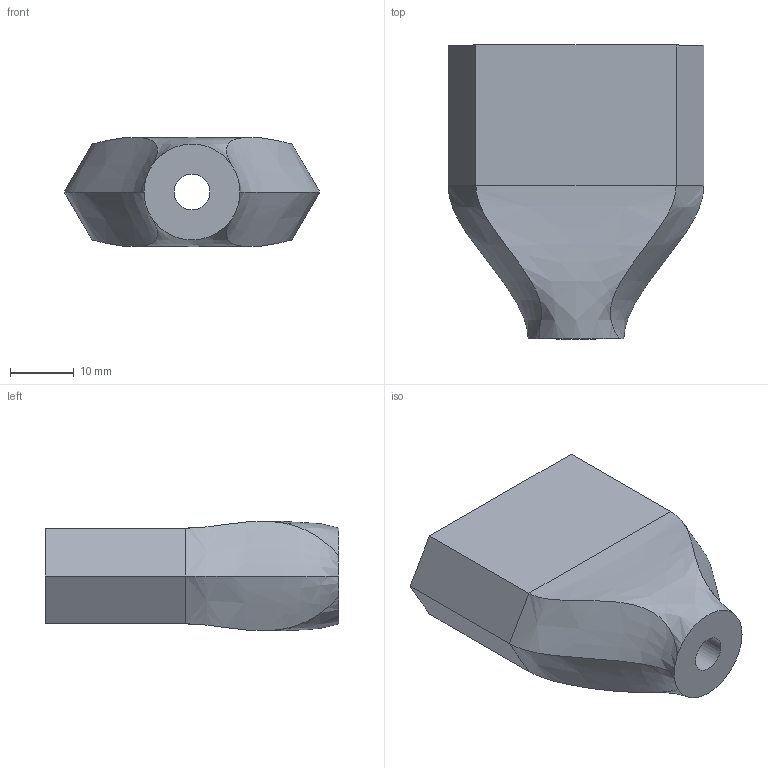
import cadquery as cq
import math

BODY_WIDTH = 40.0
BODY_HEIGHT = 15.0
BODY_LENGTH = 22.0
SIDE_SLOPE = math.radians(60)

TRANSITION_LENGTH = 24.0
NECK_RADIUS = BODY_HEIGHT / 2
BORE_DIAMETER = 5.6

TOP_CENTRE_RATE = (0.0, -7.3)
SHOULDER_RATE = (17.6, -25.65)
SIDE_CORNER_RATE = (-0.4, 0.0)

SECTION_COUNT = 9
POINTS_PER_EDGE = 9

half_width = BODY_WIDTH / 2
half_height = BODY_HEIGHT / 2
half_flat = half_width - half_height / math.tan(SIDE_SLOPE)
shoulder_angle = math.atan2(half_height, half_flat)


def mix(start, end, fraction):
    """Point a given fraction of the way between two (x, z) pairs."""
    return tuple(a + (b - a) * fraction for a, b in zip(start, end))


def neck_point(angle):
    return (NECK_RADIUS * math.cos(angle), NECK_RADIUS * math.sin(angle))


def blend(hexagon_point, circle_point, end_rate, t):
    """Cubic from hexagon (t=0, square to its plane) to circle (t=1, given rate)."""
    to_circle = t * t * (3 - 2 * t)
    rate_weight = t * t * (t - 1)
    position = mix(hexagon_point, circle_point, to_circle)
    return tuple(p + rate_weight * r for p, r in zip(position, end_rate))


def side_point(u, t):
    """Upper right side: u=0 at the side corner, u=1 at the shoulder."""
    hexagon_point = mix((half_width, 0.0), (half_flat, half_height), u)
    end_rate = mix(SIDE_CORNER_RATE, SHOULDER_RATE, u)
    return blend(hexagon_point, neck_point(u * shoulder_angle), end_rate, t)


def left_side_point(u, t):
    """Upper left side: mirror of the right, running from shoulder to side corner."""
    x, z = side_point(1 - u, t)
    return (-x, z)


def top_point(u, t):
    """Top: u=0 at the right shoulder, u=1 at the left shoulder."""
    across = 1 - 2 * u
    angle = shoulder_angle + u * (math.pi - 2 * shoulder_angle)
    rate_x = SHOULDER_RATE[0] * across
    rate_z = mix(TOP_CENTRE_RATE, SHOULDER_RATE, across**2)[1]
    return blend((half_flat * across, half_height), neck_point(angle), (rate_x, rate_z), t)


def section_edge(point_at, t, turned):
    """One of the six edges of a section; turned edges are rotated half a turn about Y."""
    sign = -1 if turned else 1
    y = -TRANSITION_LENGTH * t
    fractions = [i / (POINTS_PER_EDGE - 1) for i in range(POINTS_PER_EDGE)]
    flat_points = [point_at(u, t) for u in fractions]
    points = [cq.Vector(sign * x, y, sign * z) for x, z in flat_points]
    if t == 0:
        return cq.Edge.makeLine(points[0], points[-1])
    if t == 1:
        return cq.Edge.makeThreePointArc(points[0], points[len(points) // 2], points[-1])
    return cq.Edge.makeSpline(points, parameters=fractions)


def section(t):
    upper_half = (side_point, top_point, left_side_point)
    edges = [section_edge(point_at, t, turned) for turned in (False, True) for point_at in upper_half]
    return cq.Wire.assembleEdges(edges)


def make_body():
    return cq.Workplane(cq.Solid.extrudeLinear(section(0), [], cq.Vector(0, BODY_LENGTH, 0)))


def make_transition():
    sections = [section(i / (SECTION_COUNT - 1)) for i in range(SECTION_COUNT)]
    return cq.Workplane(cq.Solid.makeLoft(sections))


def make_bore():
    length = BODY_LENGTH + TRANSITION_LENGTH
    start = cq.Vector(0, -TRANSITION_LENGTH, 0)
    return cq.Workplane(cq.Solid.makeCylinder(BORE_DIAMETER / 2, length, start, cq.Vector(0, 1, 0)))


result = make_body().union(make_transition()).cut(make_bore())